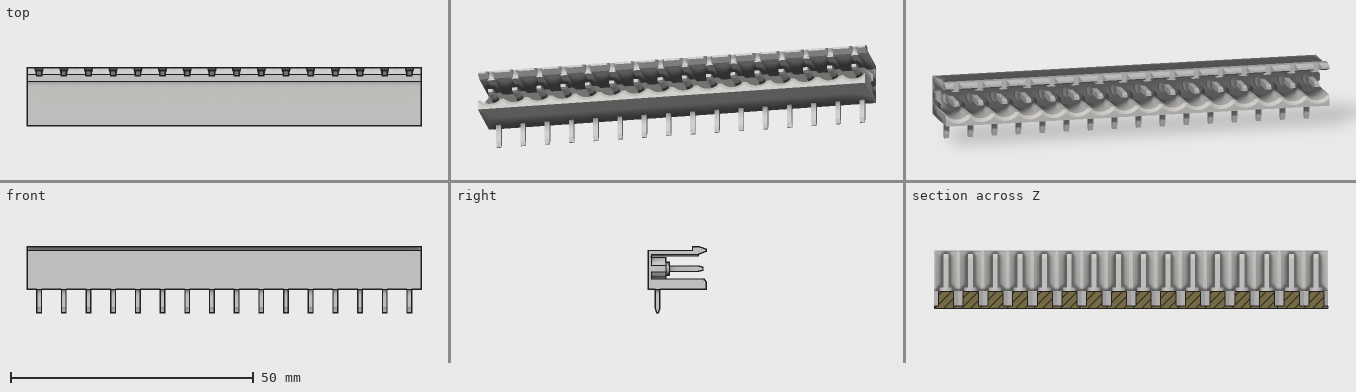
import cadquery as cq


pin_count = 16
pitch = 5.08
housing_length = 81.17
housing_depth = 12.0
housing_height = 8.05

back_wall = 0.7
floor_top = 2.2
floor_chamfer_depth = 0.5
floor_chamfer_height = 0.7
roof_bottom = 7.22

lip_top = 8.8
lip_start = 9.1
lip_crest_end = 10.55
lip_underside_start = 10.3
lip_tip_top = 8.3
lip_tip_bottom = 7.85

notch_depth = 1.65
notch_inner_width = 1.0
notch_outer_width = 1.7

rib_end = housing_depth - notch_depth
rib_bottom = 6.87
rib_bottom_width = 1.6
rib_top_width = 1.0

axis_z = 4.27
pin_width = 1.0
blade_height = 1.15
blade_end = 11.3
blade_taper_length = 0.95
blade_tip_height = 0.65
leg_thickness = 1.0
leg_y = 1.95
leg_length = 4.8
leg_taper_length = 1.0
leg_tip_thickness = 0.4

block_front = 3.65
block_waist_bottom = 3.7
block_waist_top = 4.87
block_top = 6.6
block_top_width = 1.4
block_neck_top = 2.6
block_bottom = 1.0
block_neck_width = 3.0
collar_radius = 1.35
collar_front = 4.4

trough_radius = 3.0

half_length = housing_length / 2
half_pitch = pitch / 2
first_pin_x = -pitch * (pin_count - 1) / 2
pin_positions = [(first_pin_x + i * pitch, 0, 0) for i in range(pin_count)]


def extrude_x(points, start, end):
    """Prism along X with a (Y, Z) outline."""
    return cq.Workplane("YZ").workplane(offset=start).polyline(points).close().extrude(end - start)


def extrude_y(points, start, end):
    """Prism along Y with an (X, Z) outline."""
    return cq.Workplane("XZ", origin=(0, start, 0)).polyline(points).close().extrude(start - end)


def cylinder_y(radius, start, end):
    """Cylinder around the blade axis at X = 0."""
    return cq.Workplane("XZ", origin=(0, start, axis_z)).circle(radius).extrude(start - end)


def at_each_pin(shape):
    """Copies of one shape, one at every pin position."""
    return [shape.translate(position).val() for position in pin_positions]


def add_at_each_pin(body, shape):
    return cq.Workplane(body.val().fuse(*at_each_pin(shape)))


def cut_at_each_pin(body, shape):
    return cq.Workplane(body.val().cut(*at_each_pin(shape)))


def make_housing():
    """C-shaped channel, open at the rear and at both ends."""
    outline = [
        (0, 0),
        (housing_depth, 0),
        (housing_depth, floor_top - floor_chamfer_height),
        (housing_depth - floor_chamfer_depth, floor_top),
        (back_wall, floor_top),
        (back_wall, roof_bottom),
        (lip_underside_start, roof_bottom),
        (housing_depth, lip_tip_bottom),
        (housing_depth, lip_tip_top),
        (lip_crest_end, lip_top),
        (lip_start, lip_top),
        (lip_start, housing_height),
        (0, housing_height),
    ]
    return extrude_x(outline, -half_length, half_length)


def make_lip_notch():
    """Slot through the lip that widens toward its free edge."""
    outline = [
        (-notch_inner_width / 2, housing_depth - notch_depth),
        (notch_inner_width / 2, housing_depth - notch_depth),
        (notch_outer_width / 2, housing_depth),
        (-notch_outer_width / 2, housing_depth),
    ]
    slot = cq.Workplane("XY", origin=(0, 0, roof_bottom)).polyline(outline).close()
    return slot.extrude(lip_top - roof_bottom)


def make_trough():
    """Round trough, flared at the rear by the same chamfer as the floor edge."""
    outline = [
        (0, back_wall),
        (trough_radius, back_wall),
        (trough_radius, housing_depth - floor_chamfer_depth),
        (trough_radius + floor_chamfer_height, housing_depth),
        (0, housing_depth),
    ]
    bore = cq.Workplane("XY").polyline(outline).close().revolve(360, (0, 0, 0), (0, 1, 0))
    floor_zone = cq.Workplane("XY").box(pitch, 2 * housing_depth, 2 * floor_top)
    return bore.translate((0, 0, axis_z)).intersect(floor_zone)


def make_coding_rib():
    outline = [
        (-rib_bottom_width / 2, rib_bottom),
        (rib_bottom_width / 2, rib_bottom),
        (rib_top_width / 2, roof_bottom),
        (-rib_top_width / 2, roof_bottom),
    ]
    return extrude_y(outline, back_wall, rib_end)


def make_support_block():
    """Block on the back wall, as wide as the pitch at its waist."""
    right_side = [
        (block_neck_width / 2, block_bottom),
        (block_neck_width / 2, block_neck_top),
        (half_pitch, block_waist_bottom),
        (half_pitch, block_waist_top),
        (block_top_width / 2, block_top),
    ]
    left_side = [(-x, z) for x, z in reversed(right_side)]
    return extrude_y(right_side + left_side, back_wall, block_front)


def make_blade():
    outline = [
        (block_front, axis_z - blade_height / 2),
        (blade_end - blade_taper_length, axis_z - blade_height / 2),
        (blade_end, axis_z - blade_tip_height / 2),
        (blade_end, axis_z + blade_tip_height / 2),
        (blade_end - blade_taper_length, axis_z + blade_height / 2),
        (block_front, axis_z + blade_height / 2),
    ]
    return extrude_x(outline, -pin_width / 2, pin_width / 2)


def make_leg():
    outline = [
        (leg_y - leg_thickness / 2, 0),
        (leg_y - leg_thickness / 2, leg_taper_length - leg_length),
        (leg_y - leg_tip_thickness / 2, -leg_length),
        (leg_y + leg_tip_thickness / 2, -leg_length),
        (leg_y + leg_thickness / 2, leg_taper_length - leg_length),
        (leg_y + leg_thickness / 2, 0),
    ]
    return extrude_x(outline, -pin_width / 2, pin_width / 2)


def make_end_trim():
    """Envelope that keeps the outer blocks flush with the housing ends."""
    clear_size = 4 * housing_depth
    return cq.Workplane("XY").box(housing_length, clear_size, clear_size)


result = make_housing()
result = cut_at_each_pin(result, make_lip_notch())
result = cut_at_each_pin(result, make_trough())
result = add_at_each_pin(result, make_coding_rib())
result = add_at_each_pin(result, make_support_block())
result = add_at_each_pin(result, cylinder_y(collar_radius, block_front, collar_front))
result = add_at_each_pin(result, make_blade())
result = add_at_each_pin(result, make_leg())
result = result.intersect(make_end_trim())
result = cq.Workplane(result.solids().val())